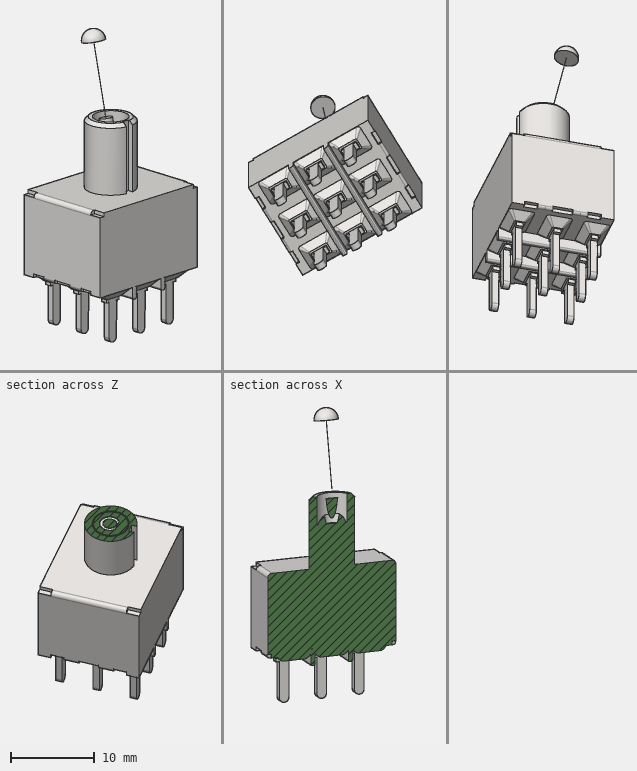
import cadquery as cq
import math


OVERALL_HEIGHT = 36.32

BODY_X = 12.7
BODY_Y = 16.53
BODY_BOTTOM = 6.6
BODY_TOP = 17.15

SHEET = 0.47
STRAP_X = 9.5
STRAP_BEND = 0.55
CORNER_STEP_Y = 0.65
STRAP_NOTCH_TOP = 7.1
SIDE_NOTCH_X = 1.65
CENTRE_NOTCH_X = 2.47
TAB_BEND = 0.33

PIN_PITCH_X = 4.7
PIN_PITCH_Y = 4.83
PIN_X = 0.85
PIN_Y = 1.25
SHOULDER_Y = 2.1

PAD_HEIGHT = 0.98
PAD_BASE_X = 3.25
PAD_BASE_Y = 4.4
PAD_TAPER = 1.9
PAD_BASE_ROUND = 0.35
PAD_TIP_ROUND = 0.15
RIB_Y = 0.6
RIB_HEIGHT = 1.5
RIB_ROUND = 0.2

BUSHING_DIAMETER = 6.32
BUSHING_TOP = 26.0
BUSHING_CHAMFER = 0.47
BORE_DIAMETER = 4.35
KEYWAY_WIDTH = 1.0
KEYWAY_FLOOR = 2.47

PIVOT_Z = 21.97
BALL_DIAMETER = BORE_DIAMETER
BALL_FLAT = 1.85
NECK_DIAMETER = 1.65
NECK_RECESS_DIAMETER = 2.32
NECK_RECESS_DEPTH = 1.45
NECK_END = 3.78
CAP_DIAMETER = 2.95
CAP_CENTRE_Z = OVERALL_HEIGHT - CAP_DIAMETER / 2
CAP_CENTRE_X = -2.87
STEM_DIAMETER = 0.018
BORE_FLOOR_ABOVE_PIVOT = 0.55

RIB_BOTTOM = BODY_BOTTOM - RIB_HEIGHT


def block(size_x, size_y, bottom, top, x=0.0, y=0.0):
    """Upright block centred on (x, y), between two heights."""
    return (
        cq.Workplane("XY", origin=(x, y, bottom))
        .rect(size_x, size_y)
        .extrude(top - bottom)
    )


def make_body():
    return block(BODY_X, BODY_Y, BODY_BOTTOM, BODY_TOP)


def cut_corner_steps(body):
    """Lower the four top corners beside the folded strap."""
    margin = (BODY_X - STRAP_X) / 2
    for side_x in (-1, 1):
        for side_y in (-1, 1):
            x = side_x * (BODY_X - margin) / 2
            y = side_y * (BODY_Y - CORNER_STEP_Y) / 2
            body = body.cut(block(margin, CORNER_STEP_Y, BODY_TOP - SHEET, BODY_TOP, x, y))
    return body


def round_strap_bends(body):
    """Round the two top edges where the strap folds down."""
    return body.faces("<Y or >Y").edges(">Z").fillet(STRAP_BEND)


def notch_strap(body):
    """Cut the strap's lower edge into two tabs per end and round the tab ends inwards."""
    tab_x = (STRAP_X - CENTRE_NOTCH_X) / 2 - SIDE_NOTCH_X
    tab_centre = (CENTRE_NOTCH_X + tab_x) / 2
    side_centre = (STRAP_X - SIDE_NOTCH_X) / 2
    for side_y in (-1, 1):
        outer = side_y * BODY_Y / 2
        y = outer - side_y * SHEET / 2
        body = body.cut(block(CENTRE_NOTCH_X, SHEET, BODY_BOTTOM, STRAP_NOTCH_TOP, 0, y))
        for side_x in (-1, 1):
            body = body.cut(
                block(SIDE_NOTCH_X, SHEET, BODY_BOTTOM, STRAP_NOTCH_TOP, side_x * side_centre, y)
            )
            waste = block(tab_x, TAB_BEND, BODY_BOTTOM, BODY_BOTTOM + TAB_BEND,
                          side_x * tab_centre, outer - side_y * TAB_BEND / 2)
            bend = (
                cq.Workplane("YZ", origin=(side_x * tab_centre, outer - side_y * TAB_BEND,
                                           BODY_BOTTOM + TAB_BEND))
                .circle(TAB_BEND)
                .extrude(tab_x, both=True)
            )
            body = body.cut(waste.cut(bend))
    return body


def make_ribs():
    """Two ribs across the underside, between the pin rows."""
    ribs = cq.Workplane("XY")
    for side_y in (-1, 1):
        rib = block(BODY_X, RIB_Y, RIB_BOTTOM, BODY_BOTTOM, 0, side_y * PIN_PITCH_Y / 2)
        ribs = ribs.add(rib.edges("|X and <Z").fillet(RIB_ROUND))
    return ribs.combine()


def rounded_rectangle(size_x, size_y, corner):
    return cq.Sketch().rect(size_x, size_y).vertices().fillet(corner)


def make_terminal():
    """One pin with its tapered pad, shoulder and round tip."""
    pad = (
        cq.Workplane("XY", origin=(0, 0, BODY_BOTTOM))
        .placeSketch(
            rounded_rectangle(PAD_BASE_X, PAD_BASE_Y, PAD_BASE_ROUND),
            rounded_rectangle(PAD_BASE_X - PAD_TAPER, PAD_BASE_Y - PAD_TAPER, PAD_TIP_ROUND)
            .moved(cq.Location(cq.Vector(0, 0, -PAD_HEIGHT))),
        )
        .loft()
    )
    shoulder = block(PIN_X, SHOULDER_Y, RIB_BOTTOM, BODY_BOTTOM)
    tip_radius = PIN_Y / 2
    pin = (
        cq.Workplane("YZ", origin=(-PIN_X / 2, 0, 0))
        .moveTo(-tip_radius, BODY_BOTTOM)
        .lineTo(-tip_radius, tip_radius)
        .threePointArc((0, 0), (tip_radius, tip_radius))
        .lineTo(tip_radius, BODY_BOTTOM)
        .close()
        .extrude(PIN_X)
    )
    return pad.union(shoulder).union(pin)


def add_terminals(body):
    terminal = make_terminal()
    for column in (-1, 0, 1):
        for row in (-1, 0, 1):
            body = body.union(terminal.translate((column * PIN_PITCH_X, row * PIN_PITCH_Y, 0)))
    return body


def make_bushing():
    """Chamfered round post with a keyway along its +X side."""
    post = (
        cq.Workplane("XY", origin=(0, 0, BODY_TOP))
        .circle(BUSHING_DIAMETER / 2)
        .extrude(BUSHING_TOP - BODY_TOP)
        .faces(">Z")
        .chamfer(BUSHING_CHAMFER)
    )
    keyway_depth = BUSHING_DIAMETER / 2 - KEYWAY_FLOOR
    keyway_x = KEYWAY_FLOOR + keyway_depth / 2
    return post.cut(block(keyway_depth, KEYWAY_WIDTH, BODY_TOP, BUSHING_TOP, keyway_x))


def make_bore():
    floor = PIVOT_Z + BORE_FLOOR_ABOVE_PIVOT
    return (
        cq.Workplane("XY", origin=(0, 0, floor))
        .circle(BORE_DIAMETER / 2)
        .extrude(BUSHING_TOP - floor)
    )


def make_lever():
    """Ball with a recess around its neck, and a round cap, on one axis that leans towards -X."""
    reach = math.hypot(CAP_CENTRE_X, CAP_CENTRE_Z - PIVOT_Z)
    lean = math.degrees(math.atan2(CAP_CENTRE_X, CAP_CENTRE_Z - PIVOT_Z))
    ball_radius = BALL_DIAMETER / 2
    cap_radius = CAP_DIAMETER / 2
    above_flat = cq.Workplane("XY", origin=(0, 0, BALL_FLAT)).rect(BALL_DIAMETER, BALL_DIAMETER)
    ball = cq.Workplane("XY").sphere(ball_radius).cut(above_flat.extrude(ball_radius))
    recess = cq.Workplane("XY", origin=(0, 0, BALL_FLAT)).circle(NECK_RECESS_DIAMETER / 2)
    ball = ball.cut(recess.extrude(-NECK_RECESS_DEPTH))
    neck = cq.Workplane("XY").circle(NECK_DIAMETER / 2).extrude(NECK_END)
    stem = cq.Workplane("XY").circle(STEM_DIAMETER / 2).extrude(reach + cap_radius / 2)
    cap = (
        cq.Workplane("XZ", origin=(0, 0, reach))
        .lineTo(cap_radius, 0)
        .radiusArc((0, cap_radius), -cap_radius)
        .close()
        .revolve(360, (0, 0, 0), (0, 1, 0))
    )
    lever = ball.union(neck).union(stem).union(cap)
    return lever.rotate((0, 0, 0), (0, 1, 0), lean).translate((0, 0, PIVOT_Z))


body = notch_strap(round_strap_bends(cut_corner_steps(make_body())))
body = add_terminals(body.union(make_ribs()))
housing = body.union(make_bushing()).cut(make_bore())
result = housing.union(make_lever())